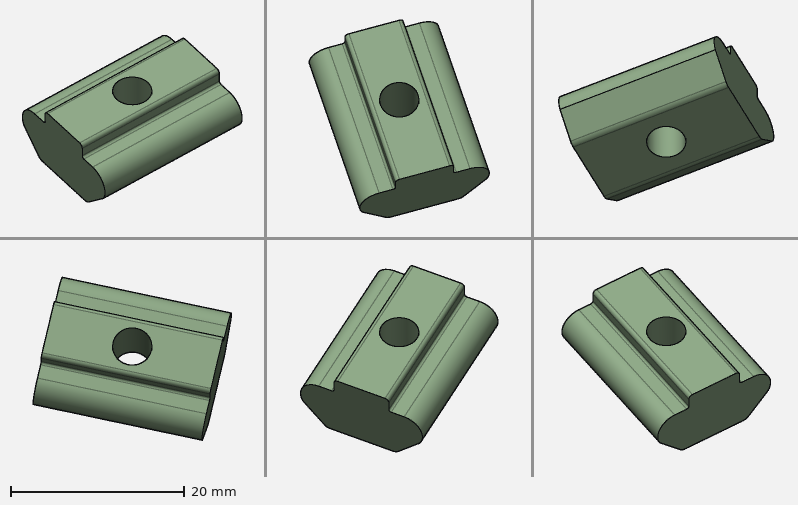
import cadquery as cq
import math

width = 15.67
length = 20.0
height = 8.6

shoulder_height = 6.6
neck_width = 7.05
wing_radius = 2.35
flank_angle = math.radians(45)
base_width = 8.9
neck_top_fillet = 0.5
neck_root_fillet = 0.3
base_edge_fillet = 1.0

hole_diameter = 4.53


def make_profile():
    """Closed T-nut outline in the XZ plane, symmetric about X = 0, base at Z = 0."""
    half_neck = neck_width / 2
    half_base = base_width / 2
    wing_x = width / 2 - wing_radius
    wing_z = shoulder_height - wing_radius

    run_x = math.cos(flank_angle)
    run_z = math.sin(flank_angle)
    offset_x = half_base - wing_x
    offset_z = -wing_z
    along = offset_x * run_x + offset_z * run_z
    gap = offset_x**2 + offset_z**2 - wing_radius**2
    flank_length = -along + math.sqrt(along**2 - gap)
    flank_x = half_base + flank_length * run_x
    flank_z = flank_length * run_z

    return (
        cq.Workplane("XZ", origin=(0, length / 2, 0))
        .moveTo(-half_base, 0)
        .lineTo(half_base, 0)
        .lineTo(flank_x, flank_z)
        .threePointArc((width / 2, wing_z), (wing_x, shoulder_height))
        .lineTo(half_neck, shoulder_height)
        .lineTo(half_neck, height)
        .lineTo(-half_neck, height)
        .lineTo(-half_neck, shoulder_height)
        .lineTo(-wing_x, shoulder_height)
        .threePointArc((-width / 2, wing_z), (-flank_x, flank_z))
        .close()
    )


def round_edges(body, half_spacing, z, radius):
    """Round the two lengthwise edges at X = +/-half_spacing and height z."""
    for x in (-half_spacing, half_spacing):
        body = body.edges(cq.selectors.NearestToPointSelector((x, 0, z))).fillet(radius)
    return body


body = make_profile().extrude(length)
body = round_edges(body, neck_width / 2, height, neck_top_fillet)
body = round_edges(body, neck_width / 2, shoulder_height, neck_root_fillet)
body = round_edges(body, base_width / 2, 0, base_edge_fillet)

hole = cq.Workplane("XY").circle(hole_diameter / 2).extrude(height)
result = body.cut(hole)